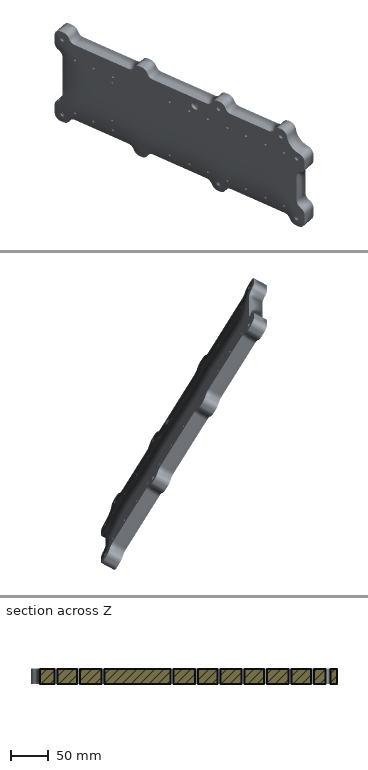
import cadquery as cq
import math

length = 406
height = 152.0
thickness = 20.5
half_length = length / 2
half_height = height / 2

lug_depth = 12.5
bolt_x = half_length - lug_depth
bolt_z = half_height - lug_depth
bolt_pitch = 2 * bolt_x / 3
inner_bolt_x = bolt_pitch / 2
grid = bolt_pitch / 5

corner_top_x = bolt_x - grid
corner_side_z = bolt_z - grid

lug_radius = 9.7
lug_half_flat = 1.83
side_lug_reach = 11.5
corner_sweep_radius = 23.0

flank_angle = math.degrees(math.acos(1 - lug_depth / (2 * lug_radius)))
flank_run = 2 * lug_radius * math.sin(math.radians(flank_angle))

bolt_diameter = 6.5
large_hole_diameter = 12
screw_diameter = 3.33
pin_diameter = 2.5
large_hole_point = (grid, 2 * grid)

screw_pair_gap = 30.0
screw_row_length = 340.0
screw_pair_count = 6
screw_pair_pitch = (screw_row_length - screw_pair_gap) / (screw_pair_count - 1)
lower_screw_z = -52.0
skipped_columns = (3, 4)

pin_x = -109.5
pin_heights = (27.5, -36.0)


def polar(center, radius, angle):
    """Point at an angle, in degrees, on a circle."""
    radians = math.radians(angle)
    return (center[0] + radius * math.cos(radians), center[1] + radius * math.sin(radians))


def draw_arcs(arcs):
    """Closed outline of arcs (center, radius, start, end), with straight lines across the gaps."""
    touching = 4.06e-06
    center, radius, _, end = arcs[-1]
    here = polar(center, radius, end)
    path = cq.Workplane("XZ").moveTo(*here)
    for center, radius, start, end in arcs:
        first = polar(center, radius, start)
        if math.dist(here, first) > touching:
            path = path.lineTo(*first)
        here = polar(center, radius, end)
        path = path.threePointArc(polar(center, radius, (start + end) / 2), here)
    return path.close()


def flank_centers(crest, heading, side):
    """Centers of the convex and concave arcs of a lug flank.

    The crest is the end of the lug's flat top, the heading is the direction of travel with the
    outside on the left, and side is -1 for a flank before the crest and +1 for one after it.
    """
    outward = heading + 90
    convex = polar(crest, -lug_radius, outward)
    foot = polar(polar(crest, -lug_depth, outward), side * flank_run, heading)
    concave = polar(foot, lug_radius, outward)
    return convex, concave


def rise(crest, heading):
    """Flank climbing from the plate edge to the crest of a lug."""
    convex, concave = flank_centers(crest, heading, -1)
    outward = heading + 90
    inward = heading - 90
    return [
        (concave, lug_radius, inward, inward + flank_angle),
        (convex, lug_radius, outward + flank_angle, outward),
    ]


def fall(crest, heading):
    """Flank dropping from the crest of a lug to the plate edge."""
    convex, concave = flank_centers(crest, heading, 1)
    outward = heading + 90
    inward = heading - 90
    return [
        (convex, lug_radius, outward, outward - flank_angle),
        (concave, lug_radius, inward - flank_angle, inward),
    ]


def round_corner(side_x, side_z, start):
    """Convex quarter round at an outer corner of the plate."""
    center = (
        math.copysign(half_length - lug_radius, side_x),
        math.copysign(half_height - lug_radius, side_z),
    )
    return [(center, lug_radius, start, start - 90)]


def edge_lug(x, edge_z, heading):
    """Lug standing on the upper or lower edge, with a short flat top."""
    step = math.copysign(lug_half_flat, edge_z)
    return rise((x - step, edge_z), heading) + fall((x + step, edge_z), heading)


def cut_back_corner():
    """Upper right corner: two round lugs joined by a concave sweep, symmetric about a diagonal."""
    upper = (corner_top_x, half_height - lug_radius)
    lower = (half_length - lug_radius, corner_side_z)
    middle = ((upper[0] + lower[0]) / 2, (upper[1] + lower[1]) / 2)
    offset = math.sqrt((lug_radius + corner_sweep_radius) ** 2 - math.dist(upper, middle) ** 2)
    slope = math.degrees(math.atan2(lower[1] - upper[1], lower[0] - upper[0]))
    sweep = polar(middle, offset, slope + 90)
    upper_angle = math.degrees(math.atan2(sweep[1] - upper[1], sweep[0] - upper[0]))
    lower_angle = math.degrees(math.atan2(sweep[1] - lower[1], sweep[0] - lower[0]))
    return [
        (upper, lug_radius, 90, upper_angle),
        (sweep, corner_sweep_radius, upper_angle + 180, lower_angle + 180),
        (lower, lug_radius, lower_angle, 0),
    ]


def plate_outline():
    """Outline walked clockwise from the lower left corner."""
    right, down, left, up = 0, -90, -180, 90
    side_lug_z = bolt_z - side_lug_reach
    corner_crest_x = bolt_x - lug_half_flat

    arcs = round_corner(-1, -1, -90)
    arcs += fall((-half_length, -side_lug_z), up)
    arcs += rise((-half_length, side_lug_z), up)
    arcs += round_corner(-1, 1, 180)
    arcs += fall((-corner_crest_x, half_height), right)
    arcs += edge_lug(-inner_bolt_x, half_height, right)
    arcs += edge_lug(inner_bolt_x, half_height, right)
    arcs += rise((corner_top_x - lug_half_flat, half_height), right)
    arcs += cut_back_corner()
    arcs += fall((half_length, corner_side_z - side_lug_reach), down)
    arcs += rise((half_length, -side_lug_z), down)
    arcs += round_corner(1, -1, 0)
    arcs += fall((corner_crest_x, -half_height), left)
    arcs += edge_lug(inner_bolt_x, -half_height, left)
    arcs += edge_lug(-inner_bolt_x, -half_height, left)
    arcs += rise((-corner_crest_x, -half_height), left)
    return draw_arcs(arcs)


def through_holes(points, diameter):
    """Cylinders that pass through the full thickness of the plate."""
    return cq.Workplane("XZ").pushPoints(points).circle(diameter / 2).extrude(thickness / 2, both=True)


def screw_points():
    """Two rows of paired holes, with the skipped places left solid."""
    columns = []
    for pair in range(screw_pair_count):
        pair_x = (pair - (screw_pair_count - 1) / 2) * screw_pair_pitch
        columns += [pair_x - screw_pair_gap / 2, pair_x + screw_pair_gap / 2]
    kept = [x for place, x in enumerate(columns) if place not in skipped_columns]
    return [(x, z) for z in (corner_side_z, lower_screw_z) for x in kept]


bolt_points = [
    (-bolt_x, bolt_z),
    (inner_bolt_x, bolt_z),
    (corner_top_x, bolt_z),
    (bolt_x, corner_side_z),
    (-bolt_x, -bolt_z),
    (inner_bolt_x, -bolt_z),
    (bolt_x, -bolt_z),
]
pin_points = [(pin_x, z) for z in pin_heights]

plate = plate_outline().extrude(thickness / 2, both=True)
plate = plate.cut(through_holes(bolt_points, bolt_diameter))
plate = plate.cut(through_holes([large_hole_point], large_hole_diameter))
plate = plate.cut(through_holes(screw_points(), screw_diameter))
plate = plate.cut(through_holes(pin_points, pin_diameter))

result = plate